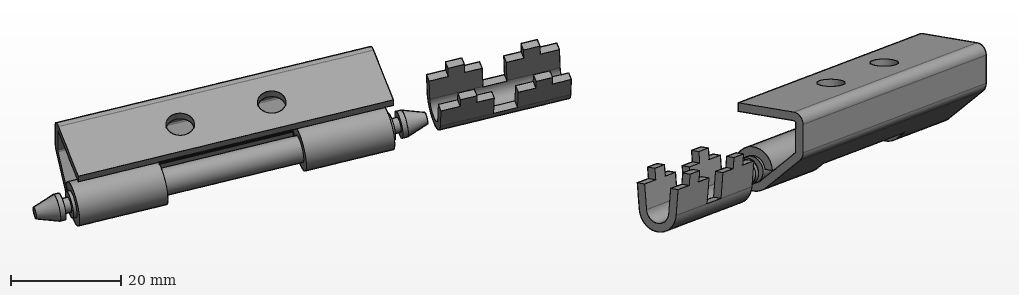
import cadquery as cq
import math


SHEET = 1.6
TOTAL_LENGTH = 101.3
TOTAL_HEIGHT = 16.1

PIN_RADIUS = 2.5
PIN_LENGTH = 74.5
TIP_RADIUS = 1.1
CONE_LENGTH = 4.2
COLLAR_END = 5.2
NECK_END = 6.6
NECK_RADIUS = 1.4
PIN_MIDDLE = PIN_LENGTH / 2

BRACKET_LENGTH = 60.0
BRACKET_START = (PIN_LENGTH - BRACKET_LENGTH) / 2
FLANGE_WIDTH = 14.2
BEND_RADIUS = 2.0
SLOPE_ANGLE = math.radians(40)
KNUCKLE_RADIUS = PIN_RADIUS + SHEET
PIN_X = 10.8
PIN_Z = KNUCKLE_RADIUS
KNUCKLE_END_RISE = 0.3
GAP_LENGTH = 26.3
GAP_X = 6.8
HOLE_DIAMETER = 5.2
HOLE_X = 8.1
HOLE_SPACING = 17.4

CLIP_LENGTH = 24.8
CLIP_START = TOTAL_LENGTH - CLIP_LENGTH
CLIP_RADIUS = 4.1
CLIP_X = 9.0
LEG_LEAN = math.radians(5)
LEG_LENGTH = 10.1
SHOULDER_Z = 8.6
TAB_TOP_Z = 10.7
TAB_OFFSET = 3.6
TAB_LENGTH = 3.1


def extrude_along_y(profile, start, length):
    """Extrude a closed XZ profile towards +Y from the given start."""
    return profile.close().extrude(-length).translate((0, start, 0))


def polar(center, radius, angle):
    """Point on a circle in XZ, angle counted from +X towards +Z."""
    return (center[0] + radius * math.cos(angle), center[1] + radius * math.sin(angle))


def make_bracket():
    pin_axis = (PIN_X, PIN_Z)
    inner_bend = BEND_RADIUS - SHEET
    tangent = math.pi + (math.pi / 2 - SLOPE_ANGLE)
    bend_x = BEND_RADIUS
    upper_bend = (bend_x, TOTAL_HEIGHT - BEND_RADIUS)
    drop = (KNUCKLE_RADIUS - BEND_RADIUS) / math.cos(SLOPE_ANGLE)
    lower_bend = (bend_x, PIN_Z + (PIN_X - bend_x) * math.tan(SLOPE_ANGLE) - drop)
    upper_middle = 3 * math.pi / 4
    lower_middle = (math.pi + tangent) / 2
    knuckle_middle = (tangent - math.pi) / 2
    end_z = PIN_Z + KNUCKLE_END_RISE
    outer_end = (PIN_X - math.sqrt(KNUCKLE_RADIUS**2 - KNUCKLE_END_RISE**2), end_z)
    inner_end = (PIN_X - math.sqrt(PIN_RADIUS**2 - KNUCKLE_END_RISE**2), end_z)

    profile = (
        cq.Workplane("XZ")
        .moveTo(FLANGE_WIDTH, TOTAL_HEIGHT)
        .lineTo(BEND_RADIUS, TOTAL_HEIGHT)
        .threePointArc(polar(upper_bend, BEND_RADIUS, upper_middle), (0, upper_bend[1]))
        .lineTo(0, lower_bend[1])
        .threePointArc(polar(lower_bend, BEND_RADIUS, lower_middle), polar(lower_bend, BEND_RADIUS, tangent))
        .lineTo(*polar(pin_axis, KNUCKLE_RADIUS, tangent))
        .threePointArc(polar(pin_axis, KNUCKLE_RADIUS, knuckle_middle), outer_end)
        .lineTo(*inner_end)
        .threePointArc(polar(pin_axis, PIN_RADIUS, knuckle_middle), polar(pin_axis, PIN_RADIUS, tangent))
        .lineTo(*polar(lower_bend, inner_bend, tangent))
        .threePointArc(polar(lower_bend, inner_bend, lower_middle), (SHEET, lower_bend[1]))
        .lineTo(SHEET, upper_bend[1])
        .threePointArc(polar(upper_bend, inner_bend, upper_middle), (bend_x, TOTAL_HEIGHT - SHEET))
        .lineTo(FLANGE_WIDTH, TOTAL_HEIGHT - SHEET)
    )
    bracket = extrude_along_y(profile, BRACKET_START, BRACKET_LENGTH)

    opening = cq.Workplane("XY").box(
        PIN_X + KNUCKLE_RADIUS - GAP_X, GAP_LENGTH, 2 * KNUCKLE_RADIUS, centered=(False, True, False)
    )
    bracket = bracket.cut(opening.translate((GAP_X, PIN_MIDDLE, 0)))

    holes = (
        cq.Workplane("XY", origin=(HOLE_X, PIN_MIDDLE, TOTAL_HEIGHT))
        .rarray(1, HOLE_SPACING, 1, 2)
        .circle(HOLE_DIAMETER / 2)
        .extrude(-SHEET)
    )
    return bracket.cut(holes)


def make_pin():
    """One through pin, with a grooved conical head at each end."""
    half_profile = [
        (TIP_RADIUS, 0),
        (PIN_RADIUS, CONE_LENGTH),
        (PIN_RADIUS, COLLAR_END),
        (NECK_RADIUS, COLLAR_END),
        (NECK_RADIUS, NECK_END),
        (PIN_RADIUS, NECK_END),
    ]
    mirrored = [(radius, PIN_LENGTH - y) for radius, y in reversed(half_profile)]
    outline = [(0, 0)] + half_profile + mirrored + [(0, PIN_LENGTH)]
    pin = cq.Workplane("XY").polyline(outline).close().revolve(360, (0, 0, 0), (0, 1, 0))
    return pin.translate((PIN_X, 0, PIN_Z))


def make_clip():
    center = (CLIP_X, CLIP_RADIUS)
    inner_radius = CLIP_RADIUS - SHEET
    left = math.pi + LEG_LEAN
    right = -LEG_LEAN
    leg_base_z = polar(center, CLIP_RADIUS, right)[1]

    def leg_top(radius):
        """Half-width at the tab tops of a leg face tangent to this radius."""
        return radius / math.cos(LEG_LEAN) + (TAB_TOP_Z - CLIP_RADIUS) * math.tan(LEG_LEAN)

    outer_top = leg_top(CLIP_RADIUS)
    inner_top = leg_top(inner_radius)
    profile = (
        cq.Workplane("XZ")
        .moveTo(CLIP_X - outer_top, TAB_TOP_Z)
        .lineTo(*polar(center, CLIP_RADIUS, left))
        .threePointArc((CLIP_X, 0), polar(center, CLIP_RADIUS, right))
        .lineTo(CLIP_X + outer_top, TAB_TOP_Z)
        .lineTo(CLIP_X + inner_top, TAB_TOP_Z)
        .lineTo(*polar(center, inner_radius, right))
        .threePointArc((CLIP_X, SHEET), polar(center, inner_radius, left))
        .lineTo(CLIP_X - inner_top, TAB_TOP_Z)
    )
    channel = extrude_along_y(profile, CLIP_START, CLIP_LENGTH)

    half_silhouette = [
        (0, 0),
        (0, SHOULDER_Z),
        (TAB_OFFSET, SHOULDER_Z),
        (TAB_OFFSET, TAB_TOP_Z),
        (TAB_OFFSET + TAB_LENGTH, TAB_TOP_Z),
        (TAB_OFFSET + TAB_LENGTH, SHOULDER_Z),
        (LEG_LENGTH, SHOULDER_Z),
        (LEG_LENGTH, leg_base_z),
    ]
    mirrored = [(CLIP_LENGTH - y, z) for y, z in reversed(half_silhouette)]
    silhouette = (
        cq.Workplane("YZ", origin=(CLIP_X, CLIP_START, 0))
        .polyline(half_silhouette + mirrored)
        .close()
        .extrude(outer_top, both=True)
    )
    return channel.intersect(silhouette)


bracket = make_bracket()
pin = make_pin()
clip = make_clip()

result = cq.Compound.makeCompound([*bracket.solids().vals(), pin.val(), *clip.solids().vals()])